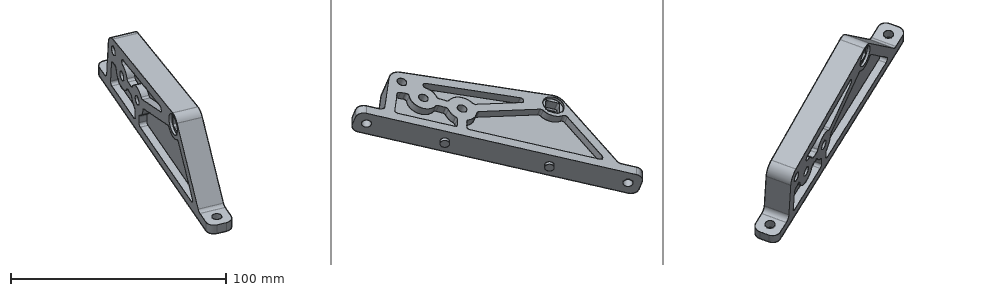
import cadquery as cq
import math

length = 139.7
thickness = 12.7
base_height = 5.0
tab_corner_radius = 4.0
foot_fillet = 2.8

upper_hole = (21.4, 26.3)
left_hole = (31.9, 18.9)
middle_hole = (50.7, 17.6)
pivot = (95.3, 33.8)
outline_radius = 6.3
slope_angle = math.radians(50.6)
hole_diameter = 4.6

pocket_depth = 3.9
floor_height = 4.7
wall = 4.9
rib_width = 4.6
boss_radius = 7.3
left_boss_radius = 7.0
pocket_fillet = 1.5
upper_pocket_start = 31.7

seat_diameter = 10.3
seat_depth = 1.4
square_side = 6.8
square_corner_radius = 1.1
square_chamfer = 0.7
square_depth = 5.0

mount_inset = 6.1
pin_positions = (44.3, pivot[0])
pin_diameter = 4.5
pin_length = 1.7

middle_y = thickness / 2
top_angle = math.atan2(pivot[1] - upper_hole[1], pivot[0] - upper_hole[0])


def front_plane():
    """Workplane on the front face, local axes X and Z, normal toward -Y."""
    return cq.Workplane("XZ")


def tangent_line(centre, angle, offset):
    """Point and direction of a line at an angle, offset to its left from a centre."""
    direction = (math.cos(angle), math.sin(angle))
    point = (centre[0] - offset * direction[1], centre[1] + offset * direction[0])
    return point, direction


def crossing(first, second):
    """Intersection of two lines given as point and direction."""
    (px, pz), (dx, dz) = first
    (qx, qz), (ex, ez) = second
    along = ((qx - px) * ez - (qz - pz) * ex) / (dx * ez - dz * ex)
    return px + along * dx, pz + along * dz


def bracket_corners(inset, bottom):
    """Corners of the bracket outline moved inward: lower left, upper left, apex, lower right."""
    offset = outline_radius - inset
    left = tangent_line(upper_hole, math.pi / 2 - top_angle, offset)
    top = tangent_line(upper_hole, top_angle, offset)
    right = tangent_line(pivot, -slope_angle, offset)
    floor = ((0, bottom), (1, 0))
    return [crossing(floor, left), crossing(left, top), crossing(top, right), crossing(right, floor)]


def cylinder(centre, radius, depth):
    return front_plane().center(*centre).circle(radius).extrude(-depth)


def rib(start, end):
    """Straight rib joining two points, as deep as the pockets."""
    run = end[0] - start[0]
    rise = end[1] - start[1]
    return (
        front_plane()
        .center((start[0] + end[0]) / 2, (start[1] + end[1]) / 2)
        .transformed(rotate=(0, 0, math.degrees(math.atan2(rise, run))))
        .rect(math.hypot(run, rise), rib_width)
        .extrude(-pocket_depth)
    )


def make_body():
    lower_left, upper_left, apex, lower_right = bracket_corners(0, base_height)
    outline = [
        (0, 0), (0, base_height), lower_left, upper_left, apex, lower_right,
        (length, base_height), (length, 0),
    ]
    body = front_plane().polyline(outline).close().extrude(-thickness)
    for corners, radius in (((upper_left, apex), outline_radius), ((lower_left, lower_right), foot_fillet)):
        for x, z in corners:
            edge = cq.selectors.NearestToPointSelector((x, middle_y, z))
            body = body.edges("|Y").edges(edge).fillet(radius)
    tab_edges = body.faces("<X or >X").edges("|Z")
    return tab_edges.fillet(tab_corner_radius)


def make_pockets():
    """The three pockets as solids, with rounded corners."""
    pockets = front_plane().polyline(bracket_corners(wall, floor_height)).close().extrude(-pocket_depth)
    bosses = (
        (upper_hole, boss_radius), (left_hole, left_boss_radius),
        (middle_hole, boss_radius),
    )
    for centre, radius in bosses:
        pockets = pockets.cut(cylinder(centre, radius, pocket_depth))
    rib_ends = ((left_hole, middle_hole), (middle_hole, pivot), ((middle_hole[0], 0), middle_hole))
    for start, end in rib_ends:
        pockets = pockets.cut(rib(start, end))
    joint_bottom = (upper_hole[1] + left_hole[1]) / 2
    joint = (
        front_plane()
        .moveTo(upper_hole[0], joint_bottom)
        .lineTo(upper_pocket_start, joint_bottom)
        .lineTo(upper_pocket_start, pivot[1])
        .lineTo(upper_hole[0], pivot[1])
        .close()
        .extrude(-pocket_depth)
    )
    pockets = pockets.cut(joint)
    right_pocket = pockets.solids(">X")
    left_pockets = pockets.cut(right_pocket)
    right_pocket = right_pocket.cut(cylinder(pivot, boss_radius, pocket_depth))
    rounded_left = left_pockets.edges("|Y").fillet(pocket_fillet)
    rounded_right = right_pocket.edges("|Y").fillet(pocket_fillet)
    return rounded_left.add(rounded_right).combine()


def make_square_socket():
    """Round-cornered square socket below the seat, chamfered around its floor."""
    socket = (
        front_plane()
        .workplane(offset=-seat_depth)
        .center(*pivot)
        .rect(square_side, square_side)
        .extrude(-square_depth)
    )
    socket = socket.edges("|Y").fillet(square_corner_radius)
    return socket.faces(">Y").edges().chamfer(square_chamfer)


def cut_holes(body):
    for centre in (upper_hole, left_hole, middle_hole, pivot):
        body = body.cut(cylinder(centre, hole_diameter / 2, thickness))
    body = body.cut(cylinder(pivot, seat_diameter / 2, seat_depth))
    mounts = (
        cq.Workplane("XY")
        .pushPoints([(mount_inset, middle_y), (length - mount_inset, middle_y)])
        .circle(hole_diameter / 2)
        .extrude(base_height)
    )
    return body.cut(make_square_socket()).cut(mounts)


def make_pins():
    return (
        cq.Workplane("XY")
        .pushPoints([(x, middle_y) for x in pin_positions])
        .circle(pin_diameter / 2)
        .extrude(-pin_length)
    )


result = cut_holes(make_body().cut(make_pockets())).union(make_pins())